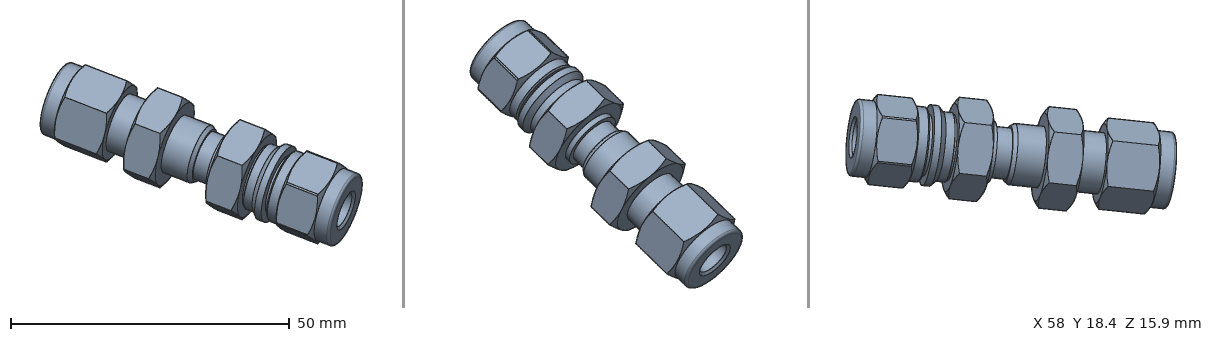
import cadquery as cq
import math

length = 57.98

end_collar_dia = 13.9
end_collar_length = 3.0
end_round = 0.5

end_nut_flats = 14.29
jam_nut_flats = 15.9
hex_chamfer_angle = 30.0
left_nut_end = 12.7
jam_nut_width = 6.4
left_jam_start = 17.3
right_jam_start = 33.75
right_nut_start = 47.3
right_nut_corner_dia = 16.3

body_dia = 11.11
thread_tip_dia = 10.1
neck_dia = 9.3
jam_collar_dia = 12.0
seal_dia = 12.6
flange_dia = 14.6
nut_skirt_dia = 13.6

thread_tip_start = 28.9
neck_start = 29.68
neck_end = 32.68
seal_start = 40.55
seal_end = 42.25
flange_start = 43.25
flange_end = 44.55
skirt_start = 45.25
skirt_chamfer = 0.3

through_dia = 4.83
socket_dia = 6.55
socket_depth = 15.2
mouth_dia = 7.5


def cylinder(dia, start, end):
    """Round bar on the X axis between two stations."""
    return cq.Workplane("YZ", origin=(start, 0, 0)).circle(dia / 2).extrude(end - start)


def turned(profile):
    """Solid of revolution about X from (station, diameter) pairs."""
    points = [(station, dia / 2) for station, dia in profile]
    points = [(points[0][0], 0)] + points + [(points[-1][0], 0)]
    return cq.Workplane("XY").polyline(points).close().revolve(360, (0, 0, 0), (1, 0, 0))


def hex_nut(flats, start, end, start_dia, end_dia, corner_dia=None):
    """Hexagon whose corners are cut by a cone at each face, starting at the given face diameters."""
    corners = flats / math.cos(math.pi / 6)
    turned_dia = corner_dia or corners
    slope = math.tan(math.radians(hex_chamfer_angle))
    start_chamfer = (turned_dia - start_dia) / 2 * slope
    end_chamfer = (turned_dia - end_dia) / 2 * slope
    hexagon = cq.Workplane("YZ", origin=(start, 0, 0)).polygon(6, corners).extrude(end - start)
    envelope = turned([
        (start, start_dia),
        (start + start_chamfer, turned_dia),
        (end - end_chamfer, turned_dia),
        (end, end_dia),
    ])
    return hexagon.intersect(envelope)


def jam_nut(start):
    return hex_nut(jam_nut_flats, start, start + jam_nut_width, jam_nut_flats, jam_nut_flats)


def turned_body():
    """Threaded shank, neck, sealing washer and the right nut's skirt, from left nut to right nut."""
    return turned([
        (end_collar_length, body_dia),
        (thread_tip_start, body_dia),
        (neck_start, thread_tip_dia),
        (neck_start, neck_dia),
        (neck_end, neck_dia),
        (neck_end, body_dia),
        (right_jam_start, body_dia),
        (right_jam_start, jam_collar_dia),
        (seal_start, jam_collar_dia),
        (seal_start, seal_dia),
        (seal_end, seal_dia),
        (flange_start, flange_dia),
        (flange_end, flange_dia),
        (flange_end, body_dia),
        (skirt_start, body_dia),
        (skirt_start, nut_skirt_dia - 2 * skirt_chamfer),
        (skirt_start + skirt_chamfer, nut_skirt_dia),
        (right_nut_start, nut_skirt_dia),
        (length - end_collar_length, nut_skirt_dia),
    ])


def end_collars():
    """Round collar with a rounded outer edge at each end."""
    left = cylinder(end_collar_dia, 0, end_collar_length).faces("<X").edges().fillet(end_round)
    right = cylinder(end_collar_dia, length - end_collar_length, length)
    right = right.faces(">X").edges().fillet(end_round)
    return left, right


def bore():
    """Through hole with a stepped socket and a 45 degree mouth at each end."""
    mouth_depth = (mouth_dia - socket_dia) / 2
    return turned([
        (0, mouth_dia),
        (mouth_depth, socket_dia),
        (socket_depth, socket_dia),
        (socket_depth, through_dia),
        (length - socket_depth, through_dia),
        (length - socket_depth, socket_dia),
        (length - mouth_depth, socket_dia),
        (length, mouth_dia),
    ])


left_nut = hex_nut(
    end_nut_flats, end_collar_length, left_nut_end, end_collar_dia, end_nut_flats
)
right_nut = hex_nut(
    end_nut_flats, right_nut_start, length - end_collar_length,
    nut_skirt_dia, end_collar_dia, right_nut_corner_dia,
)

result = turned_body()
for piece in (*end_collars(), left_nut, right_nut, jam_nut(left_jam_start), jam_nut(right_jam_start)):
    result = result.union(piece)
result = result.cut(bore())